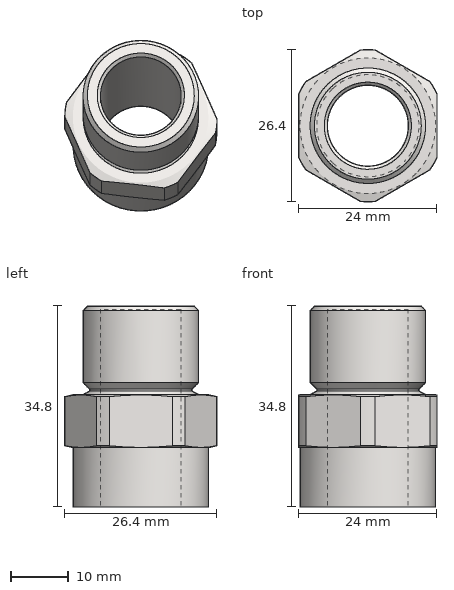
import cadquery as cq

total_height = 34.8
bore_diameter = 14.0
mouth_diameter = 15.1

collar_diameter = 23.5
hex_across_flats = 24.0
hex_corner_diameter = 26.38
hex_bottom = 10.3
hex_top = 19.5
hex_chamfer_height = 0.35

spigot_diameter = 20.0
spigot_tip_diameter = 18.5
groove_diameter = 17.7
groove_foot_diameter = spigot_diameter
groove_bottom = 20.15
groove_top = 20.43

spigot_bottom = groove_top + (spigot_diameter - groove_diameter) / 2
tip_bevel = (spigot_diameter - spigot_tip_diameter) / 2
mouth_bevel = (mouth_diameter - bore_diameter) / 2


def revolve_profile(diameters_and_heights):
    """Revolve a closed profile of (diameter, height) corners around Z."""
    points = [(diameter / 2, height) for diameter, height in diameters_and_heights]
    return cq.Workplane("XZ").polyline(points).close().revolve(360, (0, 0), (0, 1))


def make_hexagon():
    """Hexagon with flats facing X, rounded corners and conical end chamfers."""
    prism = (
        cq.Workplane("XY", origin=(0, 0, hex_bottom))
        .polygon(6, hex_across_flats, circumscribed=True)
        .extrude(hex_top - hex_bottom)
    )
    envelope = revolve_profile([
        (0, hex_bottom),
        (collar_diameter, hex_bottom),
        (hex_corner_diameter, hex_bottom + hex_chamfer_height),
        (hex_corner_diameter, hex_top - hex_chamfer_height),
        (collar_diameter, hex_top),
        (0, hex_top),
    ])
    return prism.intersect(envelope)


def make_spigot():
    """Bevelled spigot standing on the relief groove above the hexagon."""
    return revolve_profile([
        (0, hex_top),
        (groove_foot_diameter, hex_top),
        (groove_diameter, groove_bottom),
        (groove_diameter, groove_top),
        (spigot_diameter, spigot_bottom),
        (spigot_diameter, total_height - tip_bevel),
        (spigot_tip_diameter, total_height),
        (0, total_height),
    ])


def make_bore():
    """Through bore with a bevelled mouth at the spigot tip."""
    return revolve_profile([
        (0, 0),
        (bore_diameter, 0),
        (bore_diameter, total_height - mouth_bevel),
        (mouth_diameter, total_height),
        (0, total_height),
    ])


collar = cq.Workplane("XY").circle(collar_diameter / 2).extrude(hex_bottom)
result = collar.union(make_hexagon()).union(make_spigot()).cut(make_bore())